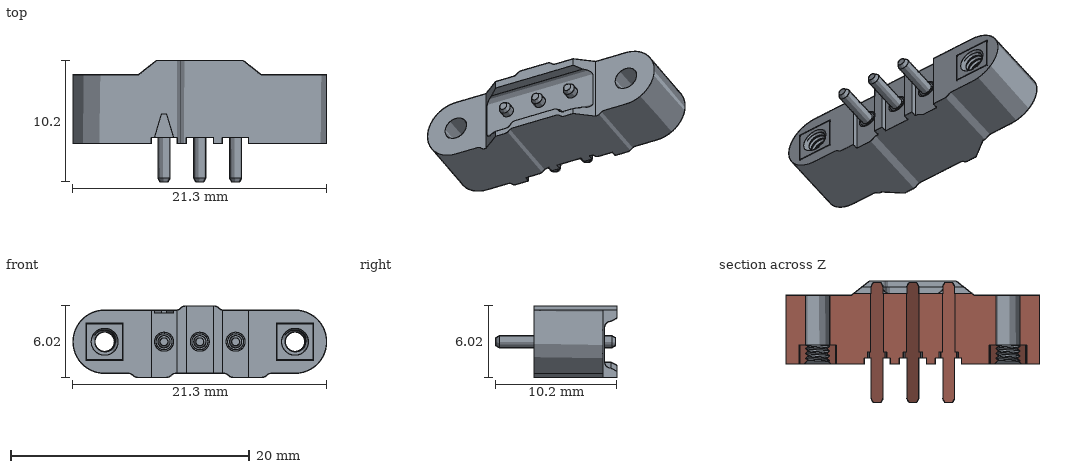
import cadquery as cq
import math

LENGTH = 21.3
END_RADIUS = 2.66
HALF_LENGTH = LENGTH / 2
SCREW_X = HALF_LENGTH - END_RADIUS
DEPTH = 6.99
EAR_DEPTH = 5.8

SHOULDER_TOP_X = 3.65
SHOULDER_FOOT_X = 5.15

RIDGE_HEIGHT = 0.35
RIDGE_FLAT_HALF = 1.21
RIDGE_FLANK = 0.77
LOWER_RIDGE_X = 4.0

RECESS_DEPTH = 0.51
RECESS_HALF = 4.07
DIVIDER_INNER_X = 1.13
DIVIDER_OUTER_X = 1.9

MARK_BASE_HALF = 0.8
MARK_TIP_HALF = 0.21
MARK_TIP_Y = 2.5
MARK_DEPTH = 0.25

TROUGH_DEPTH = 1.05
TROUGH_TOP = 1.7
TROUGH_BOTTOM = -2.22
TROUGH_CORNER = 0.51
FLARE_DEPTH = 0.51
FLARE_RISE = 0.28
KEY_HEIGHT = 0.51
KEY_FLAT_HALF = 1.8
KEY_FLANK = 0.9

PIN_PITCH = 3.0
PIN_COUNT = 3
PIN_DIAMETER = 1.02
PIN_FRONT_Y = -3.22
PIN_BACK_Y = 6.85
PIN_TIP_LENGTH = 0.32
PIN_TIP_DIAMETER = 0.65
FLANGE_DIAMETER = 1.35
FLANGE_LENGTH = 0.51
SEAT_DIAMETER = 1.6

NUT_SIDE = 3.0
NUT_POCKET_SIDE = 3.1
NUT_THICKNESS = 1.6
THREAD_MINOR = 1.62
THREAD_MAJOR = 2.0
THREAD_PITCH = 0.4
THREAD_MOUTH = 0.36
THREAD_OVERRUN = 0.21
THREAD_START_ANGLE = 270
COUNTERSINK_DIAMETER = 2.25

BORE_OVERLAP = 0.05

PIN_XS = [(i - (PIN_COUNT - 1) / 2) * PIN_PITCH for i in range(PIN_COUNT)]
NUT_XS = [-SCREW_X, SCREW_X]


def front_plane(x=0, y=0, z=0):
    """Plane facing +Y, with local x along -X and local y along +Z."""
    return cq.Plane(origin=(x, y, z), xDir=(-1, 0, 0), normal=(0, 1, 0))


def ridge_outline(plane, flat_half, flank, height):
    """Closed ridge outline on the local x axis; each flank is an S of two equal tangent arcs."""
    half_run = flank / 2
    half_rise = height / 2
    half_angle = math.atan2(half_rise, half_run)
    radius = half_run / math.sin(2 * half_angle)
    mid_run = radius * math.sin(half_angle)
    mid_rise = radius * (1 - math.cos(half_angle))
    foot = flat_half + flank
    middle = flat_half + half_run
    return (
        cq.Workplane(plane)
        .moveTo(-foot, 0)
        .threePointArc((-foot + mid_run, mid_rise), (-middle, half_rise))
        .threePointArc((-flat_half - mid_run, height - mid_rise), (-flat_half, height))
        .lineTo(flat_half, height)
        .threePointArc((flat_half + mid_run, height - mid_rise), (middle, half_rise))
        .threePointArc((foot - mid_run, mid_rise), (foot, 0))
        .close()
    )


def outer_ridge(x, side):
    """Full-depth ridge on the top (side = 1) or underside (side = -1)."""
    ridge = ridge_outline(front_plane(), RIDGE_FLAT_HALF, RIDGE_FLANK, RIDGE_HEIGHT).extrude(DEPTH)
    if side < 0:
        ridge = ridge.mirror("XY")
    return ridge.translate((x, 0, side * END_RADIUS))


def housing_block():
    """Round-ended block with its outer ridges, trimmed to the shouldered plan shape."""
    block = cq.Workplane(front_plane()).slot2D(LENGTH, 2 * END_RADIUS).extrude(DEPTH)
    block = block.union(outer_ridge(0, 1))
    for x in (-LOWER_RIDGE_X, LOWER_RIDGE_X):
        block = block.union(outer_ridge(x, -1))
    plan = (
        cq.Workplane("XY")
        .polyline([
            (-HALF_LENGTH, 0),
            (HALF_LENGTH, 0),
            (HALF_LENGTH, EAR_DEPTH),
            (SHOULDER_FOOT_X, EAR_DEPTH),
            (SHOULDER_TOP_X, DEPTH),
            (-SHOULDER_TOP_X, DEPTH),
            (-SHOULDER_FOOT_X, EAR_DEPTH),
            (-HALF_LENGTH, EAR_DEPTH),
        ])
        .close()
        .extrude(HALF_LENGTH, both=True)
    )
    return block.intersect(plan)


def front_recesses():
    """Three shallow slots over the full height of the front face."""
    spans = [
        (-RECESS_HALF, -DIVIDER_OUTER_X),
        (-DIVIDER_INNER_X, DIVIDER_INNER_X),
        (DIVIDER_OUTER_X, RECESS_HALF),
    ]
    recesses = cq.Workplane("XY")
    for left, right in spans:
        slot = cq.Workplane("XY").box(right - left, RECESS_DEPTH, LENGTH, centered=(False, False, True))
        recesses = recesses.add(slot.translate((left, 0, 0)))
    return recesses.combine()


def arrow_mark():
    """Shallow tapering pocket in the top face, open at the recessed front."""
    return (
        cq.Workplane("XY", origin=(PIN_XS[0], 0, END_RADIUS - MARK_DEPTH))
        .polyline([
            (-MARK_BASE_HALF, RECESS_DEPTH),
            (MARK_BASE_HALF, RECESS_DEPTH),
            (MARK_TIP_HALF, MARK_TIP_Y),
            (-MARK_TIP_HALF, MARK_TIP_Y),
        ])
        .close()
        .extrude(2 * MARK_DEPTH)
    )


def trough_key():
    """Key along the trough's lower wall, sinking with the flare towards the back."""
    floor_y = DEPTH - TROUGH_DEPTH
    flare_y = DEPTH - FLARE_DEPTH

    def section(y, z):
        return ridge_outline(front_plane(0, y, z), KEY_FLAT_HALF, KEY_FLANK, KEY_HEIGHT)

    straight = section(floor_y, TROUGH_BOTTOM).extrude(flare_y - floor_y)
    near_wire = section(flare_y, TROUGH_BOTTOM).val()
    back_wire = section(DEPTH, TROUGH_BOTTOM - FLARE_RISE).val()
    flared = cq.Workplane(cq.Solid.makeLoft([near_wire, back_wire], True))
    return straight.union(flared)


def mating_trough():
    """Trough through the full length: flared mouth, rounded floor corners, key left standing."""
    floor_y = DEPTH - TROUGH_DEPTH
    flare_y = DEPTH - FLARE_DEPTH
    corner_y = floor_y + TROUGH_CORNER
    corner_offset = TROUGH_CORNER * (1 - math.sqrt(0.5))
    trough = (
        cq.Workplane("YZ", origin=(-HALF_LENGTH, 0, 0))
        .moveTo(DEPTH, TROUGH_TOP + FLARE_RISE)
        .lineTo(flare_y, TROUGH_TOP)
        .lineTo(corner_y, TROUGH_TOP)
        .threePointArc(
            (floor_y + corner_offset, TROUGH_TOP - corner_offset),
            (floor_y, TROUGH_TOP - TROUGH_CORNER),
        )
        .lineTo(floor_y, TROUGH_BOTTOM + TROUGH_CORNER)
        .threePointArc(
            (floor_y + corner_offset, TROUGH_BOTTOM + corner_offset),
            (corner_y, TROUGH_BOTTOM),
        )
        .lineTo(flare_y, TROUGH_BOTTOM)
        .lineTo(DEPTH, TROUGH_BOTTOM - FLARE_RISE)
        .close()
        .extrude(LENGTH)
    )
    return trough.cut(trough_key())


def pin_hole(x):
    """Through hole for a pin shank with a wider flange seat at the front."""
    shank = cq.Workplane(front_plane(x)).circle(PIN_DIAMETER / 2).extrude(DEPTH)
    seat = cq.Workplane(front_plane(x)).circle(SEAT_DIAMETER / 2).extrude(RECESS_DEPTH + FLANGE_LENGTH)
    return shank.union(seat)


def nut_hole(x):
    """Square nut pocket in the front face with a screw hole running on through the ear."""
    pocket = cq.Workplane(front_plane(x)).rect(NUT_POCKET_SIDE, NUT_POCKET_SIDE).extrude(NUT_THICKNESS)
    screw = cq.Workplane(front_plane(x)).circle(THREAD_MAJOR / 2).extrude(EAR_DEPTH)
    return pocket.union(screw)


def make_housing():
    housing = housing_block().cut(front_recesses()).cut(arrow_mark()).cut(mating_trough())
    for x in PIN_XS:
        housing = housing.cut(pin_hole(x))
    for x in NUT_XS:
        housing = housing.cut(nut_hole(x))
    return housing


def make_pin(x):
    """Turned pin with tapered tips and a flange flush with the recessed front."""
    shank_radius = PIN_DIAMETER / 2
    tip_radius = PIN_TIP_DIAMETER / 2
    shank = (
        cq.Workplane("XY")
        .polyline([
            (0, PIN_FRONT_Y),
            (tip_radius, PIN_FRONT_Y),
            (shank_radius, PIN_FRONT_Y + PIN_TIP_LENGTH),
            (shank_radius, PIN_BACK_Y - PIN_TIP_LENGTH),
            (tip_radius, PIN_BACK_Y),
            (0, PIN_BACK_Y),
        ])
        .close()
        .revolve(360, (0, 0, 0), (0, 1, 0))
    )
    flange = cq.Workplane(front_plane(0, RECESS_DEPTH)).circle(FLANGE_DIAMETER / 2).extrude(FLANGE_LENGTH)
    return shank.union(flange).translate((x, 0, 0))


def thread_groove():
    """Helical V groove about Z, overrunning both faces of a nut that stands on Z = 0."""
    inner_radius = THREAD_MINOR / 2 - BORE_OVERLAP
    outer_radius = THREAD_MAJOR / 2
    path = cq.Wire.makeHelix(THREAD_PITCH, NUT_THICKNESS + 2 * THREAD_OVERRUN, inner_radius)
    groove = (
        cq.Workplane("XZ")
        .polyline([
            (inner_radius, -THREAD_MOUTH / 2),
            (outer_radius, 0),
            (inner_radius, THREAD_MOUTH / 2),
        ])
        .close()
        .sweep(cq.Workplane(path), isFrenet=True)
    )
    groove = groove.rotate((0, 0, 0), (0, 0, 1), THREAD_START_ANGLE)
    return groove.translate((0, 0, -THREAD_OVERRUN))


def make_nut(x):
    """Square nut with a countersunk threaded hole, flush with the front face."""
    countersink_depth = (COUNTERSINK_DIAMETER - THREAD_MINOR) / 2
    nut = (
        cq.Workplane("XY")
        .rect(NUT_SIDE, NUT_SIDE)
        .circle(THREAD_MINOR / 2)
        .extrude(NUT_THICKNESS)
    )
    countersink = cq.Workplane(
        cq.Solid.makeCone(COUNTERSINK_DIAMETER / 2, THREAD_MINOR / 2, countersink_depth)
    )
    nut = nut.cut(countersink).cut(thread_groove())
    return nut.rotate((0, 0, 0), (1, 0, 0), -90).translate((x, 0, 0))


housing = make_housing()
pins = [make_pin(x) for x in PIN_XS]
nuts = [make_nut(x) for x in NUT_XS]

result = cq.Compound.makeCompound([
    housing.val(),
    *[pin.val() for pin in pins],
    *[nut.val() for nut in nuts],
])